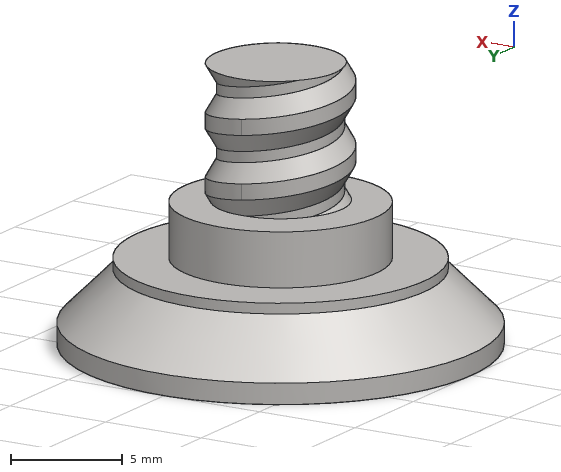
import cadquery as cq
import math

flange_diameter = 20.0
shoulder_diameter = 15.0
hub_diameter = 10.0
flange_thickness = 1.0
cone_height = (flange_diameter - shoulder_diameter) / 2
shoulder_top = 4.0
hub_top = 6.6
total_height = 13.0

root_diameter = 5.75
crest_diameter = 6.75
pitch = 3.0
crest_width = pitch / 4
flank_angle = 30.0
groove_level = 7.1
groove_start = groove_level - pitch
groove_turns = 4
groove_overshoot = 0.1
blank_seam_angle = 90.0


def make_base():
    """Revolve the flange, cone, shoulder and hub as one profile."""
    flange_radius = flange_diameter / 2
    shoulder_radius = shoulder_diameter / 2
    hub_radius = hub_diameter / 2
    profile = [
        (0, 0),
        (flange_radius, 0),
        (flange_radius, flange_thickness),
        (shoulder_radius, flange_thickness + cone_height),
        (shoulder_radius, shoulder_top),
        (hub_radius, shoulder_top),
        (hub_radius, hub_top),
        (0, hub_top),
    ]
    return cq.Workplane("XZ").polyline(profile).close().revolve(360, (0, 0, 0), (0, 1, 0))


def make_groove():
    """Sweep the trapezoidal thread groove past both ends of the screw."""
    root_radius = root_diameter / 2
    outer_radius = crest_diameter / 2 + groove_overshoot
    flank_slope = 1 / math.tan(math.radians(flank_angle))
    half_crest_gap = (pitch - crest_width) / 2
    half_outer = half_crest_gap + groove_overshoot * flank_slope
    half_root = half_outer - (outer_radius - root_radius) * flank_slope
    profile = [
        (root_radius, -half_root),
        (outer_radius, -half_outer),
        (outer_radius, half_outer),
        (root_radius, half_root),
    ]
    path = cq.Workplane(obj=cq.Wire.makeHelix(pitch, pitch * groove_turns, root_radius))
    groove = cq.Workplane("XZ").polyline(profile).close().sweep(path, isFrenet=True)
    return groove.rotate((0, 0, 0), (0, 0, 1), 180).translate((0, 0, groove_start))


def make_screw():
    """Threaded stud standing on the hub."""
    screw_length = total_height - hub_top
    blank = cq.Workplane("XY").workplane(offset=hub_top).circle(crest_diameter / 2).extrude(screw_length)
    blank = blank.rotate((0, 0, 0), (0, 0, 1), blank_seam_angle)
    return blank.cut(make_groove())


result = make_base().union(make_screw())